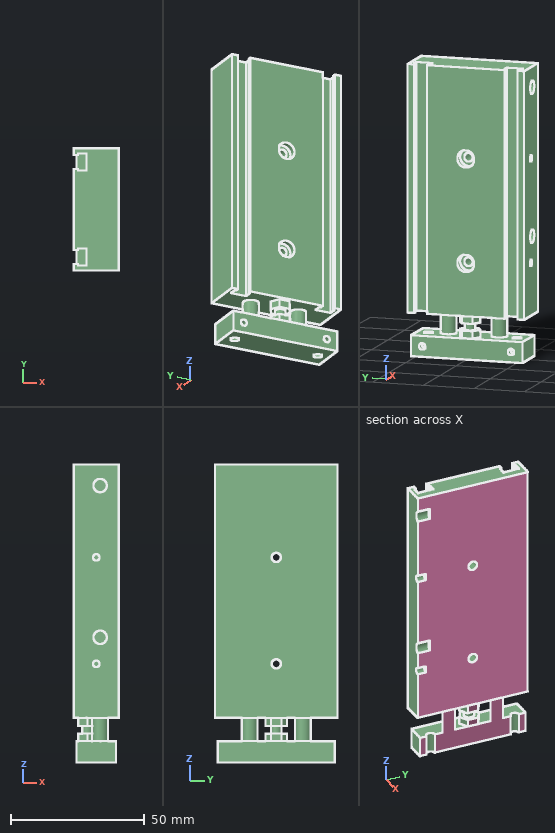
import cadquery as cq
import math

total_height = 112.0
housing_height = 95.2
plate_height = 8.1
housing_bottom = total_height - housing_height
rod_length = housing_bottom - plate_height

housing_depth = 17.0
housing_width = 46.0
slot_from_side = 5.2
slot_opening = 5.2
slot_cavity_width = 6.4
slot_lip = 1.7
slot_depth = 4.8
mount_drops = (35.0, 74.9)
mount_bore = 3.4
mount_counterbore = 6.6
mount_counterbore_depth = 3.4
side_hole_diameter = 2.5
side_hole_depth = 3.4
port_drops = (8.0, 65.0)
port_diameter = 5.0
port_depth = 5.0

rod_diameter = 6.0
rod_pitch = 20.0
rod_x = 1.5
plate_depth = 15.0
plate_width = 44.0
plate_hole_pitch = 35.0
plate_pin_hole_diameter = 2.5
plate_pin_hole_depth = 3.4
plate_screw_hole_diameter = 3.4

bolt_x = -3.2
bolt_shank_diameter = 4.0
hex_across_flats = 7.0
bolt_head_height = 3.1
bolt_nut_height = 2.8

housing_front = -housing_depth / 2
housing_side = -housing_width / 2
plate_front = -plate_depth / 2


def cylinder_along(direction, start, diameter, length):
    """Solid cylinder from a start point along a direction."""
    return cq.Workplane(cq.Solid.makeCylinder(diameter / 2, length, cq.Vector(*start), cq.Vector(*direction)))


def t_slot(center_y):
    """Full-height T-slot cutter open to the -X face."""
    opening = cq.Workplane().box(slot_depth, slot_opening, housing_height, centered=(False, True, False))
    cavity = cq.Workplane().box(
        slot_depth - slot_lip, slot_cavity_width, housing_height, centered=(False, True, False)
    )
    cutter = opening.union(cavity.translate((slot_lip, 0, 0)))
    return cutter.translate((housing_front, center_y, housing_bottom))


def make_housing():
    body = cq.Workplane().box(housing_depth, housing_width, housing_height, centered=(True, True, False))
    body = body.translate((0, 0, housing_bottom))

    for side in (-1, 1):
        body = body.cut(t_slot(side * (housing_width / 2 - slot_from_side)))

    for drop in mount_drops:
        z = total_height - drop
        mount_start = (housing_front, 0, z)
        body = body.cut(cylinder_along((1, 0, 0), mount_start, mount_bore, housing_depth))
        body = body.cut(cylinder_along((1, 0, 0), mount_start, mount_counterbore, mount_counterbore_depth))
        body = body.cut(cylinder_along((0, 1, 0), (0, housing_side, z), side_hole_diameter, side_hole_depth))

    for drop in port_drops:
        port_start = (rod_x, housing_side, total_height - drop)
        body = body.cut(cylinder_along((0, 1, 0), port_start, port_diameter, port_depth))
    return body


def make_rod_assembly():
    """End plate carrying both piston rods, which end at the housing."""
    body = cq.Workplane().box(plate_depth, plate_width, plate_height, centered=(True, True, False))
    for side in (-1, 1):
        rod_start = (rod_x, side * rod_pitch / 2, plate_height)
        body = body.union(cylinder_along((0, 0, 1), rod_start, rod_diameter, rod_length))

        hole_y = side * plate_hole_pitch / 2
        pin_start = (plate_front, hole_y, plate_height / 2)
        body = body.cut(cylinder_along((1, 0, 0), pin_start, plate_pin_hole_diameter, plate_pin_hole_depth))
        screw_start = (0, hole_y, 0)
        body = body.cut(cylinder_along((0, 0, 1), screw_start, plate_screw_hole_diameter, plate_height))
    return body


def hexagon(bottom_z, height):
    """Hexagonal prism on the bolt axis, with corners on the Y axis."""
    across_corners = hex_across_flats / math.cos(math.pi / 6)
    prism = cq.Workplane().polygon(6, across_corners).extrude(height)
    return prism.rotate((0, 0, 0), (0, 0, 1), 90).translate((bolt_x, 0, bottom_z))


def make_stop_bolt():
    """Stop bolt between plate and housing: lock nut, shank and head."""
    nut = hexagon(plate_height, bolt_nut_height)
    head = hexagon(housing_bottom - bolt_head_height, bolt_head_height)
    shank = cylinder_along((0, 0, 1), (bolt_x, 0, plate_height), bolt_shank_diameter, rod_length)
    return nut.union(shank).union(head)


housing = make_housing()
rod_assembly = make_rod_assembly()
stop_bolt = make_stop_bolt()

result = cq.Compound.makeCompound([housing.val(), rod_assembly.val(), stop_bolt.val()])